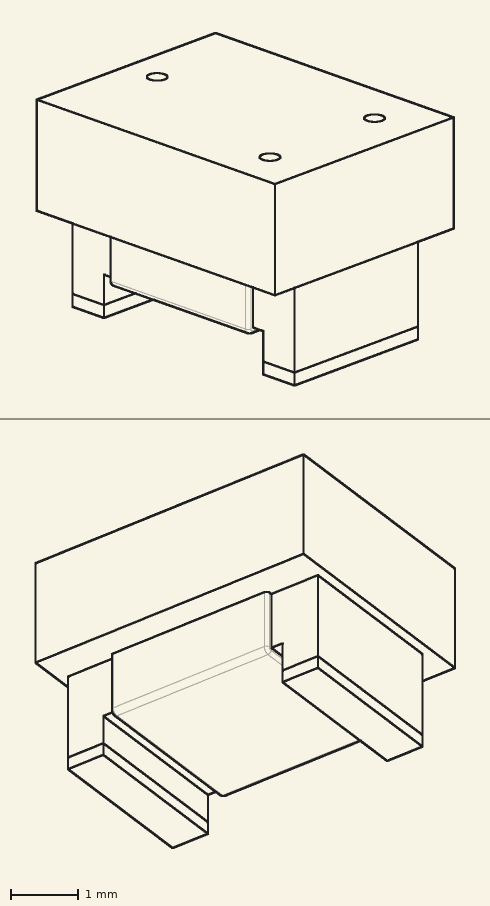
import cadquery as cq

length = 4.95
width = 3.81
height = 3.43

cap_height = 1.775
cap_bottom = height - cap_height

core_length = 4.615
core_width = 2.635
foot_length = 0.655
foot_height = 0.695

winding_length = 2.895
winding_thickness = 0.105
winding_width = core_width + 2 * winding_thickness
winding_bottom = foot_height - winding_thickness
winding_bend_radius = 0.095
winding_end_radius = 0.055

terminal_height = 0.21

dot_radius = 0.155
dot_depth = 0.05
dot_positions = [(-1.84, 0.01), (1.655, 1.06), (1.655, -1.17)]


def make_block(x_size, y_size, z_bottom, z_top):
    """Box centred on the Z axis between two heights."""
    block = cq.Workplane("XY").box(x_size, y_size, z_top - z_bottom, centered=(True, True, False))
    return block.translate((0, 0, z_bottom))


def make_core():
    """Bridge with the gap between its feet cut through along Y."""
    core = make_block(core_length, core_width, terminal_height, cap_bottom)
    gap_length = core_length - 2 * foot_length
    gap = make_block(gap_length, core_width, terminal_height, foot_height)
    return core.cut(gap)


def make_winding():
    """Winding with bent lower edges and rounded rims at both ends."""
    winding = make_block(winding_length, winding_width, winding_bottom, cap_bottom)
    winding = winding.edges("|X and <Z").fillet(winding_bend_radius)
    end_rims = winding.faces("<X or >X").edges("not >Z")
    return winding.newObject(end_rims.vals()).fillet(winding_end_radius)


def make_dot(x, y):
    """Flush marking disc in the top of the cap."""
    return cq.Workplane("XY", origin=(x, y, height - dot_depth)).circle(dot_radius).extrude(dot_depth)


def make_terminal(side):
    """Contact plate under the foot on the given side (-1 or 1) of the part."""
    plate = make_block(foot_length, core_width, 0, terminal_height)
    return plate.translate((side * (core_length - foot_length) / 2, 0, 0))


def make_body(dots):
    """Cap, core and winding in one piece, with a recess for each dot."""
    body = make_block(length, width, cap_bottom, height).union(make_core()).union(make_winding())
    for dot in dots:
        body = body.cut(dot)
    return body.solids()


marking_dots = [make_dot(x, y) for x, y in dot_positions]
terminals = [make_terminal(side) for side in (-1, 1)]
body = make_body(marking_dots)

result = cq.Compound.makeCompound([
    body.val(),
    *[dot.val() for dot in marking_dots],
    *[terminal.val() for terminal in terminals],
])